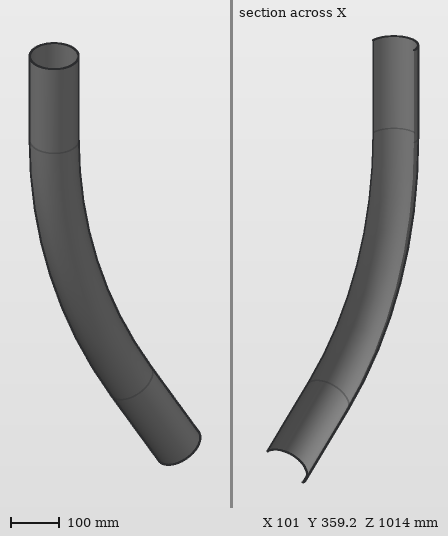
import cadquery as cq
import math

outer_diameter = 101.0
inner_diameter = 98.0
leg_length = 203.0
bend_angle = 30.0
overall_height = 1014.0

lean = math.radians(bend_angle)
legs_height = leg_length * (1 + math.cos(lean))
rim_drop = outer_diameter / 2 * math.sin(lean)
bend_radius = (overall_height - legs_height - rim_drop) / math.sin(lean)


def point_on_bend(angle):
    """Centreline point (Y, Z) after turning by the given angle; the bend starts at the origin."""
    turn = math.radians(angle)
    return bend_radius * (1 - math.cos(turn)), -bend_radius * math.sin(turn)


def centreline():
    """Path from the top opening down to the lower opening, tangent at both ends of the bend."""
    bend_end_y, bend_end_z = point_on_bend(bend_angle)
    lower_end = (
        bend_end_y + leg_length * math.sin(lean),
        bend_end_z - leg_length * math.cos(lean),
    )
    return (
        cq.Workplane("YZ")
        .moveTo(0, leg_length)
        .lineTo(0, 0)
        .threePointArc(point_on_bend(bend_angle / 2), (bend_end_y, bend_end_z))
        .lineTo(*lower_end)
    )


wall_section = (
    cq.Workplane("XY")
    .workplane(offset=leg_length)
    .circle(outer_diameter / 2)
    .circle(inner_diameter / 2)
)
result = wall_section.sweep(centreline())